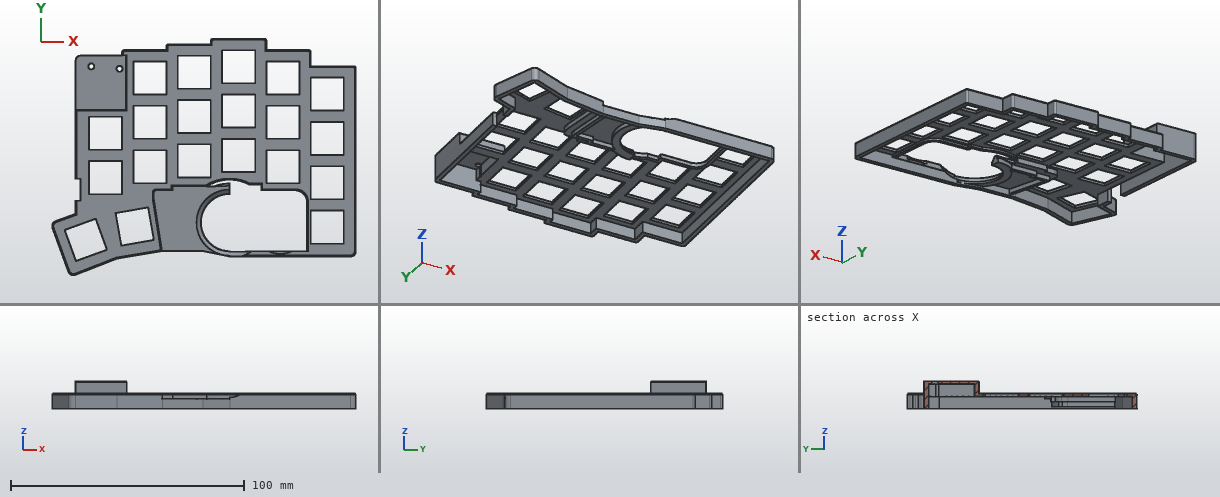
import cadquery as cq
import math

PLATE_TOP = 6.6
PLATE_THICK = 1.3
BOX_TOP = 12.0
FLOOR_TOP = 4.3
COLLAR_BOTTOM = 0.9
PLATE_BOTTOM = PLATE_TOP - PLATE_THICK
FLOOR_BOTTOM = FLOOR_TOP - PLATE_THICK

WALL = 2.1
LIP_WIDTH = 1.5
EDGE_CHAMFER = 0.5
STEP_FILLET = 1.0
CORNER_FILLET = 2.3

KEY_PITCH = 19.0
KEY_HOLE = 14.0
KEY_MARGIN = 12.0
FIRST_COLUMN_X = 22.9
COLUMNS = [(60.8, 2), (84.4, 3), (86.9, 3), (89.2, 3), (84.4, 3), (77.5, 4)]
COLUMN_X = [FIRST_COLUMN_X + i * KEY_PITCH for i in range(len(COLUMNS))]
COLUMN_EDGE_Y = [top + KEY_MARGIN for top, count in COLUMNS]

OUTER_THUMB = (14.4, 15.2, 20)
INNER_THUMB = (35.3, 20.9, 10)
THUMB_LEFT_MARGIN = 11.7
THUMB_FRONT_MARGIN = 12.6
THUMB_BEND_X = 27.7
THUMB_BEND_Y = 7.1
THUMB_END_X = 47.0

LEFT_X = 10.0
RIGHT_X = 129.9
FRONT_Y = 8.0
PALM_FRONT_Y = 10.4
PALM_BEND_X = 64.4

BOX_RIGHT_X = 32.0
BOX_FRONT_Y = 70.4
BOX_REAR_Y = 94.0
BOX_HOLES = [(16.8, 89.4), (28.8, 88.3)]
BOX_HOLE_DIAMETER = 2.5

NOTCH_FRONT_Y = 32.0
NOTCH_REAR_Y = 41.3

BALL_X = 75.8
BALL_Y = 22.6
BALL_Z = 13.8
BALL_RADIUS = 17.0
BORE_RADIUS = 12.2
COLLAR_RADIUS = 15.7
CLEARANCE_RADIUS = 18.3

OPENING_FRONT_Y = PALM_FRONT_Y
OPENING_RIGHT_X = 109.0
OPENING_REAR_Y = 36.4
OPENING_LEFT_X = 43.5
OPENING_LEFT_BEND_Y = 32.7
OPENING_FILLET = 5.0
LEFT_STEP_X = 51.5
LEFT_STEP_Y = 38.0
RIGHT_STEP_X = 89.4
RIGHT_STEP_Y = 38.8
SCALLOP_X = 97.5
SCALLOP_RADIUS = 11.5
SCALLOP_DEPTH = 1.2


def tilted_point(key, dx, dy):
    """Point at (dx, dy) in the tilted axes of a thumb key."""
    x, y, tilt = key
    cosine = math.cos(math.radians(tilt))
    sine = math.sin(math.radians(tilt))
    return (x + dx * cosine - dy * sine, y + dx * sine + dy * cosine)


def prism(points, bottom, top):
    return cq.Workplane("XY").workplane(offset=bottom).polyline(points).close().extrude(top - bottom)


def box(x0, x1, y0, y1, z0, z1):
    return cq.Workplane("XY").box(x1 - x0, y1 - y0, z1 - z0, centered=False).translate((x0, y0, z0))


def cylinder(x, y, radius, bottom, top):
    return cq.Workplane("XY").workplane(offset=bottom).center(x, y).circle(radius).extrude(top - bottom)


def circle_x(y, side):
    """x where the clearance circle crosses height y, on the given side of the ball."""
    return BALL_X + side * math.sqrt(CLEARANCE_RADIUS ** 2 - (y - BALL_Y) ** 2)


def at_point(x, y):
    """Selector for the vertical edge standing at (x, y)."""
    reach = 0.06
    return cq.selectors.BoxSelector((x - reach, y - reach, 0), (x + reach, y + reach, BOX_TOP))


thumb_rear_left = tilted_point(OUTER_THUMB, -THUMB_LEFT_MARGIN, KEY_MARGIN)
thumb_front_left = tilted_point(OUTER_THUMB, -THUMB_LEFT_MARGIN, -THUMB_FRONT_MARGIN)
thumb_bend = (THUMB_BEND_X, THUMB_BEND_Y)
thumb_end = (THUMB_END_X, PALM_FRONT_Y)
thumb_root_y = thumb_rear_left[1] + (LEFT_X - thumb_rear_left[0]) * math.tan(math.radians(OUTER_THUMB[2]))

rear_steps = [(LEFT_X, BOX_REAR_Y)]
step_corners = []
for i in range(1, len(COLUMNS)):
    last_y = rear_steps[-1][1]
    rising = COLUMN_EDGE_Y[i] > last_y
    step_x = COLUMN_X[i] - KEY_MARGIN if rising else COLUMN_X[i - 1] + KEY_MARGIN
    rear_steps.append((step_x, last_y))
    rear_steps.append((step_x, COLUMN_EDGE_Y[i]))
    step_corners.append((step_x, max(last_y, COLUMN_EDGE_Y[i])))
rear_steps.append((RIGHT_X, COLUMN_EDGE_Y[-1]))
step_corners.append(rear_steps[-1])

OUTLINE = [(LEFT_X, thumb_root_y)] + rear_steps + [
    (RIGHT_X, FRONT_Y),
    (BALL_X, FRONT_Y),
    (PALM_BEND_X, PALM_FRONT_Y),
    thumb_end,
    thumb_bend,
    thumb_front_left,
    thumb_rear_left,
]
CASE_CORNERS = [thumb_front_left, thumb_rear_left, (RIGHT_X, FRONT_Y), (LEFT_X, BOX_REAR_Y)]


def outline_block(top):
    block = prism(OUTLINE, 0, top)
    for corners, radius in ((CASE_CORNERS, CORNER_FILLET), (step_corners, STEP_FILLET)):
        for corner in corners:
            block = block.edges("|Z").edges(at_point(*corner)).fillet(radius)
    return block


def shell():
    """Plate with a surrounding wall, open underneath."""
    block = outline_block(PLATE_TOP).faces(">Z").chamfer(EDGE_CHAMFER)
    cavity = cq.Workplane("XY").polyline(OUTLINE).close().offset2D(-WALL, "intersection")
    return block.cut(cavity.extrude(PLATE_BOTTOM))


def opening(bottom, top, grow=0):
    """Prism of the trackball opening and the lowered palm area, widened or narrowed by grow."""
    left_arc = (circle_x(LEFT_STEP_Y, -1), LEFT_STEP_Y)
    right_arc = (circle_x(RIGHT_STEP_Y, 1), RIGHT_STEP_Y)
    wire = (
        cq.Workplane("XY").workplane(offset=bottom)
        .moveTo(thumb_end[0], PALM_FRONT_Y)
        .lineTo(OPENING_LEFT_X, OPENING_LEFT_BEND_Y)
        .lineTo(OPENING_LEFT_X, OPENING_REAR_Y - STEP_FILLET)
        .radiusArc((OPENING_LEFT_X + STEP_FILLET, OPENING_REAR_Y), STEP_FILLET)
        .lineTo(LEFT_STEP_X, OPENING_REAR_Y)
        .lineTo(LEFT_STEP_X, LEFT_STEP_Y)
        .lineTo(*left_arc)
        .threePointArc((BALL_X, BALL_Y + CLEARANCE_RADIUS), right_arc)
        .lineTo(RIGHT_STEP_X, RIGHT_STEP_Y)
        .lineTo(RIGHT_STEP_X, OPENING_REAR_Y)
        .lineTo(OPENING_RIGHT_X - OPENING_FILLET, OPENING_REAR_Y)
        .radiusArc((OPENING_RIGHT_X, OPENING_REAR_Y - OPENING_FILLET), OPENING_FILLET)
        .lineTo(OPENING_RIGHT_X, OPENING_FRONT_Y)
        .lineTo(BALL_X, OPENING_FRONT_Y)
        .lineTo(BALL_X, 0)
        .lineTo(thumb_end[0], 0)
        .close()
    )
    if grow != 0:
        wire = wire.offset2D(grow, "intersection")
    return wire.extrude(top - bottom)


def palm_floor():
    """Lowered floor left of the ball, with a skirt and a collar around the ball cup below it."""
    case = outline_block(FLOOR_TOP).faces(">Z").chamfer(EDGE_CHAMFER)
    slab = opening(FLOOR_BOTTOM, FLOOR_TOP, LIP_WIDTH)
    slab = slab.cut(box(circle_x(LEFT_STEP_Y, -1), BALL_X, LEFT_STEP_Y, BOX_REAR_Y, 0, FLOOR_TOP))
    collar = cylinder(BALL_X, BALL_Y, COLLAR_RADIUS, COLLAR_BOTTOM, FLOOR_TOP)
    skirt = opening(COLLAR_BOTTOM, FLOOR_BOTTOM, -LIP_WIDTH)
    skirt = skirt.cut(opening(COLLAR_BOTTOM, FLOOR_BOTTOM, -2 * LIP_WIDTH))
    left_half = box(0, BALL_X, 0, BOX_REAR_Y, 0, FLOOR_TOP)
    return slab.union(skirt).union(collar).intersect(left_half).intersect(case)


def controller_box():
    block = box(LEFT_X, BOX_RIGHT_X, BOX_FRONT_Y, BOX_REAR_Y, PLATE_BOTTOM, BOX_TOP)
    block = block.edges("|Z and <X and >Y").fillet(CORNER_FILLET)
    return block.faces(">Z").edges("<Y or >X").chamfer(EDGE_CHAMFER)


def key_holes():
    hole = cq.Workplane("XY").rect(KEY_HOLE, KEY_HOLE).extrude(PLATE_TOP)
    holes = cq.Workplane("XY")
    for x, (top_y, count) in zip(COLUMN_X, COLUMNS):
        for row in range(count):
            holes = holes.add(hole.translate((x, top_y - row * KEY_PITCH, 0)))
    for x, y, tilt in (OUTER_THUMB, INNER_THUMB):
        holes = holes.add(hole.rotate((0, 0, 0), (0, 0, 1), tilt).translate((x, y, 0)))
    return holes


result = shell()

lip = opening(FLOOR_TOP, PLATE_BOTTOM, LIP_WIDTH).intersect(outline_block(PLATE_BOTTOM))
result = result.union(lip)

result = result.cut(opening(FLOOR_TOP, PLATE_TOP))
opening_edges = cq.selectors.BoxSelector(
    (OPENING_LEFT_X - LIP_WIDTH, OPENING_FRONT_Y + LIP_WIDTH, PLATE_BOTTOM),
    (OPENING_RIGHT_X + LIP_WIDTH, BALL_Y + CLEARANCE_RADIUS + LIP_WIDTH, BOX_TOP),
)
result = result.faces(">Z").edges(opening_edges).chamfer(EDGE_CHAMFER)

result = result.union(palm_floor())

result = result.cut(cq.Workplane("XY").sphere(BALL_RADIUS).translate((BALL_X, BALL_Y, BALL_Z)))
result = result.cut(cylinder(BALL_X, BALL_Y, BORE_RADIUS, 0, BALL_Z))

scallop_y = OPENING_FRONT_Y - SCALLOP_DEPTH + SCALLOP_RADIUS
scallop = cylinder(SCALLOP_X, scallop_y, SCALLOP_RADIUS, PLATE_BOTTOM, PLATE_TOP)
scallop = scallop.intersect(box(BALL_X, OPENING_RIGHT_X, 0, OPENING_REAR_Y, 0, PLATE_TOP))
result = result.cut(scallop)

result = result.union(controller_box())
box_cavity = box(
    LEFT_X + WALL, BOX_RIGHT_X - WALL, BOX_FRONT_Y + WALL, BOX_REAR_Y - WALL, 0, BOX_TOP - PLATE_THICK
)
result = result.cut(box_cavity)
for hole_x, hole_y in BOX_HOLES:
    result = result.cut(cylinder(hole_x, hole_y, BOX_HOLE_DIAMETER / 2, 0, BOX_TOP))

result = result.cut(box(LEFT_X, LEFT_X + WALL, NOTCH_FRONT_Y, NOTCH_REAR_Y, 0, PLATE_TOP))

for key_hole in key_holes().vals():
    result = result.cut(cq.Workplane(key_hole))